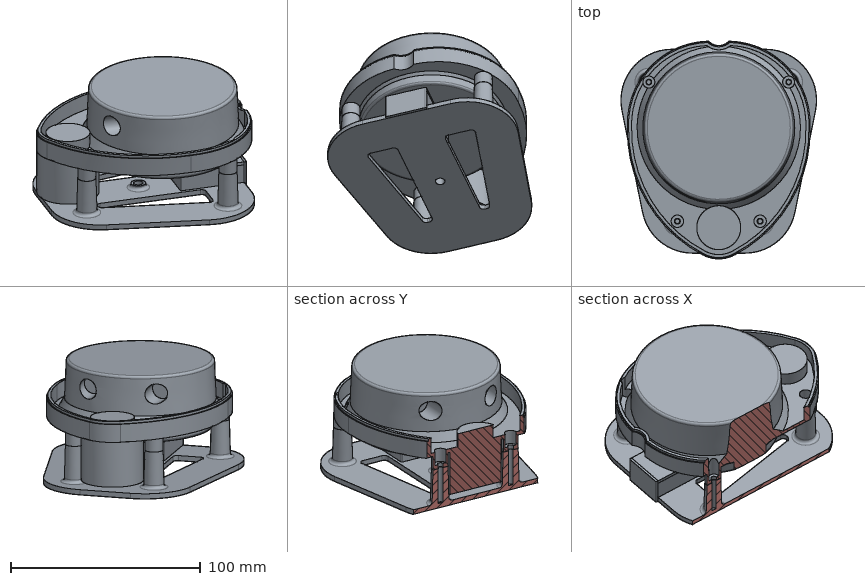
import cadquery as cq
import math


plate_thickness = 2.9
plate_corner_radius = 27.0
plate_width = 103.4
back_corner = (plate_width / 2 - plate_corner_radius, 14.5)
front_corner = (13.8, -39.2)
plate_back_y = back_corner[1] + plate_corner_radius

bar_half_width = 13.2
opening_back = (30.4, 18.9)
opening_front = (18.4, -41.4)
opening_corner_radius = 2.3

back_posts = [(36.9, 24.2), (-36.9, 24.2)]
front_posts = [(21.9, -49.3), (-21.9, -49.3)]
post_top_z = 23.0
post_base_diameter = 10.7
post_top_diameter = 9.7
foot_fillet = 2.0
pilot_diameter = 2.5

nub_y = -13.6
nub_top_z = 5.4
nub_base_diameter = 7.9
nub_top_diameter = 7.8
nub_hole_diameter = 5.0

tray_bottom_z = 30.5
tray_floor_z = 32.9
tray_wall_top_z = 40.3
tray_lip_top_z = 41.6
wall_inset = 2.3
lip_inset = 0.7
tray_back_y = 45.8
tray_length = 115.0
tray_tip = (0.0, tray_back_y - tray_length)
side_point = (48.3, 0.0)
back_arc_center = (4.4, 1.8)
back_arc_radius = math.dist(side_point, back_arc_center)
side_arc_middle = (41.5, -32.2)
nose_start = (8.5, -67.0)
notch_half_width = 5.4
notch_bottom = (0.0, 43.5)

turret_top_z = 59.5
turret_bottom_z = 38.0
turret_bottom_radius = 40.1
turret_top_radius = 39.2
turret_top_fillet = 1.5
skirt_radius = 43.1
cup_bottom_z = 23.0
cup_top_z = 29.0
cup_radius = 38.5
cup_fillet = 1.3
cup_flare_radius = 39.9
window_diameter = 10.7
window_x = 18.7
window_z = 49.7
window_end_y = -23.0

motor_can_diameter = 33.0
motor_y = tray_tip[1] + motor_can_diameter / 2
motor_can_bottom_z = 6.1
motor_cap_diameter = 23.2
motor_cap_top_z = 40.3

boss_diameter = 9.5
boss_floor_z = 25.3
back_recess_diameter = 6.3
back_screw_diameter = 3.0
front_recess_diameter = 6.5
front_screw_diameter = 3.1

box_width = 22.8
box_front_y = 6.2
box_corner_radius = 0.5
box_top_z = 13.0
lid_top_z = 14.7
panel_back_y = 42.9


def mirrored(point):
    return (-point[0], point[1])


def cylinder(x, y, diameter, bottom_z, top_z):
    return cq.Workplane(cq.Solid.makeCylinder(diameter / 2, top_z - bottom_z, cq.Vector(x, y, bottom_z)))


def block(x_range, y_range, z_range):
    size = [high - low for low, high in (x_range, y_range, z_range)]
    return cq.Workplane().box(*size, centered=False).translate((x_range[0], y_range[0], z_range[0]))


def footed_post(x, y, base_diameter, top_diameter, top_z):
    """Post on the plate that tapers from base_diameter, above a concave foot, to top_diameter."""
    base_radius = base_diameter / 2
    foot_top_z = plate_thickness + foot_fillet
    return (
        cq.Workplane("XZ")
        .moveTo(0, plate_thickness)
        .lineTo(base_radius + foot_fillet, plate_thickness)
        .radiusArc((base_radius, foot_top_z), foot_fillet)
        .lineTo(top_diameter / 2, top_z)
        .lineTo(0, top_z)
        .close()
        .revolve(360, (0, 0, 0), (0, 1, 0))
        .translate((x, y, 0))
    )


def plate_outline():
    """Four equal corner arcs joined by their common tangents."""
    dx = back_corner[0] - front_corner[0]
    dy = back_corner[1] - front_corner[1]
    tilt = math.atan2(dx, dy)

    def on_corner(corner, angle):
        return (
            corner[0] + plate_corner_radius * math.cos(angle),
            corner[1] + plate_corner_radius * math.sin(angle),
        )

    back_start = on_corner(back_corner, math.pi / 2)
    back_middle = on_corner(back_corner, (math.pi / 2 - tilt) / 2)
    back_end = on_corner(back_corner, -tilt)
    front_start = on_corner(front_corner, -tilt)
    front_middle = on_corner(front_corner, (-math.pi / 2 - tilt) / 2)
    front_end = on_corner(front_corner, -math.pi / 2)
    return (
        cq.Workplane()
        .moveTo(*back_start)
        .threePointArc(back_middle, back_end)
        .lineTo(*front_start)
        .threePointArc(front_middle, front_end)
        .lineTo(*mirrored(front_end))
        .threePointArc(mirrored(front_middle), mirrored(front_start))
        .lineTo(*mirrored(back_end))
        .threePointArc(mirrored(back_middle), mirrored(back_start))
        .close()
    )


def plate_opening(side):
    corners = [
        (side * bar_half_width, opening_back[1]),
        (side * opening_back[0], opening_back[1]),
        (side * opening_front[0], opening_front[1]),
        (side * bar_half_width, opening_front[1]),
    ]
    opening = cq.Workplane().polyline(corners).close().extrude(plate_thickness)
    return opening.edges("|Z").fillet(opening_corner_radius)


def make_mount():
    mount = plate_outline().extrude(plate_thickness)
    for side in (-1, 1):
        mount = mount.cut(plate_opening(side))
    for x, y in back_posts + front_posts:
        mount = mount.union(footed_post(x, y, post_base_diameter, post_top_diameter, post_top_z))
        mount = mount.cut(cylinder(x, y, pilot_diameter, plate_thickness, post_top_z))
    mount = mount.union(footed_post(0, nub_y, nub_base_diameter, nub_top_diameter, nub_top_z))
    return mount.cut(cylinder(0, nub_y, nub_hole_diameter, 0, nub_top_z))


def tray_outline():
    """Pear-shaped outline with a notch at the back and a round nose at the front."""
    notch_rise = math.sqrt(back_arc_radius**2 - (notch_half_width - back_arc_center[0]) ** 2)
    notch_end = (notch_half_width, back_arc_center[1] + notch_rise)
    diagonal = back_arc_radius / math.sqrt(2)
    back_middle = (back_arc_center[0] + diagonal, back_arc_center[1] + diagonal)
    return (
        cq.Workplane()
        .moveTo(*notch_end)
        .threePointArc(back_middle, side_point)
        .threePointArc(side_arc_middle, nose_start)
        .threePointArc(tray_tip, mirrored(nose_start))
        .threePointArc(mirrored(side_arc_middle), mirrored(side_point))
        .threePointArc(mirrored(back_middle), mirrored(notch_end))
        .threePointArc(notch_bottom, notch_end)
        .close()
    )


def tray_prism(inset, bottom_z, top_z):
    outline = tray_outline()
    if inset:
        outline = outline.offset2D(-inset)
    return outline.extrude(top_z - bottom_z).translate((0, 0, bottom_z))


def make_tray():
    tray = tray_prism(0, tray_bottom_z, tray_wall_top_z)
    tray = tray.union(tray_prism(lip_inset, tray_floor_z, tray_lip_top_z))
    return tray.cut(tray_prism(wall_inset, tray_floor_z, tray_lip_top_z))


def make_turret():
    """Round turret, the skirt it rises from and the cup below, as one turned shape."""
    turret = (
        cq.Workplane("XZ")
        .moveTo(0, cup_bottom_z)
        .lineTo(cup_radius - cup_fillet, cup_bottom_z)
        .radiusArc((cup_radius, cup_bottom_z + cup_fillet), -cup_fillet)
        .lineTo(cup_radius, cup_top_z)
        .lineTo(cup_flare_radius, tray_bottom_z)
        .lineTo(skirt_radius, tray_floor_z)
        .lineTo(turret_bottom_radius, turret_bottom_z)
        .lineTo(turret_top_radius, turret_top_z)
        .lineTo(0, turret_top_z)
        .close()
        .revolve(360, (0, 0, 0), (0, 1, 0))
        .faces(">Z")
        .edges()
        .fillet(turret_top_fillet)
    )
    for x in (-window_x, window_x):
        window = cq.Solid.makeCylinder(
            window_diameter / 2, turret_bottom_radius, cq.Vector(x, window_end_y, window_z), cq.Vector(0, -1, 0)
        )
        turret = turret.cut(cq.Workplane(window))
    return turret


def bore_boss(scanner, posts, recess_diameter, screw_diameter):
    """Screw bosses that stand on the posts, each with a head recess open to the top."""
    for x, y in posts:
        scanner = scanner.union(cylinder(x, y, boss_diameter, post_top_z, tray_bottom_z))
        scanner = scanner.cut(cylinder(x, y, recess_diameter, boss_floor_z, tray_lip_top_z))
        scanner = scanner.cut(cylinder(x, y, screw_diameter, post_top_z, boss_floor_z))
    return scanner


def make_scanner():
    scanner = make_tray().union(make_turret())
    scanner = scanner.union(cylinder(0, motor_y, motor_can_diameter, motor_can_bottom_z, tray_bottom_z))
    scanner = scanner.union(cylinder(0, motor_y, motor_cap_diameter, tray_bottom_z, motor_cap_top_z))
    scanner = bore_boss(scanner, back_posts, back_recess_diameter, back_screw_diameter)
    return bore_boss(scanner, front_posts, front_recess_diameter, front_screw_diameter)


def box_layer(bottom_z, top_z):
    layer = block((-box_width / 2, box_width / 2), (box_front_y, plate_back_y), (bottom_z, top_z))
    return layer.edges("|Z and <Y").fillet(box_corner_radius)


def make_panel():
    panel = block((-box_width / 2, box_width / 2), (plate_back_y, panel_back_y), (0, lid_top_z))
    return panel.edges("|Z and >Y").fillet(box_corner_radius)


mount = make_mount()
scanner = make_scanner()
box = box_layer(plate_thickness, box_top_z)
lid = box_layer(box_top_z, lid_top_z)
panel = make_panel()

result = cq.Compound.makeCompound([mount.val(), scanner.val(), box.val(), lid.val(), panel.val()])